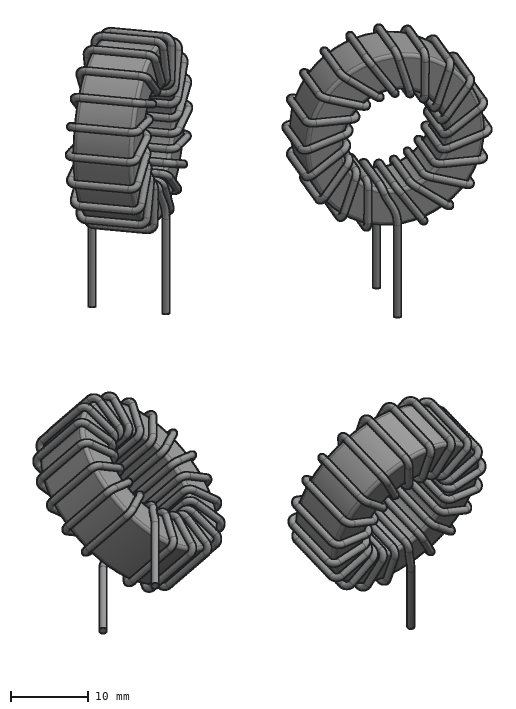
import cadquery as cq
import math

core_outer_diameter = 24.1
core_inner_diameter = 14.0
core_width = 8.1
core_edge_radius = 0.5

wire_diameter = 1.0
wire_clearance = 0.01
turn_count = 20
turn_angle = 2 * math.pi / turn_count

lead_spacing = 10.0
lead_length = 13.0
lead_top_z = -11.45

wire_offset = wire_diameter / 2 + wire_clearance
bend_radius = core_edge_radius + wire_diameter / 2
outer_radius = core_outer_diameter / 2 + wire_offset
inner_radius = core_inner_diameter / 2 - wire_offset
face_x = core_width / 2 + wire_offset
lead_x = lead_spacing / 2

down = cq.Vector(0, 0, -1)


def make_core():
    """Ring with rounded inner and outer edges."""
    ring = (
        cq.Workplane("YZ", origin=(-core_width / 2, 0, 0))
        .circle(core_outer_diameter / 2)
        .circle(core_inner_diameter / 2)
        .extrude(core_width)
    )
    return ring.edges("%CIRCLE").fillet(core_edge_radius)


def point_at(x, radius, turn):
    """Point at a turn's angle, counted from the bottom of the core toward +Y."""
    angle = turn * turn_angle
    return cq.Vector(x, radius * math.sin(angle), -radius * math.cos(angle))


def winding_corners():
    """Sharp corners of the winding, from the -X lead to the +X lead.

    The wire runs straight through the bore and slants to the next turn on the +X face.
    It then crosses the rim and runs radially back to the bore on the -X face.
    """
    corners = []
    for turn in range(turn_count):
        if turn > 0:
            corners.append(point_at(face_x, outer_radius, turn))
            corners.append(point_at(-face_x, outer_radius, turn))
        corners.append(point_at(-face_x, inner_radius, turn))
        corners.append(point_at(face_x, inner_radius, turn))
    return corners


def bend(before, corner, after):
    """Right-angle bend of the wire at a corner: its start, arc and end."""
    toward_before = (before - corner).normalized() * bend_radius
    toward_after = (after - corner).normalized() * bend_radius
    start = corner + toward_before
    end = corner + toward_after
    arc_depth = 1 - math.sqrt(0.5)
    middle = corner + (toward_before + toward_after) * arc_depth
    return start, cq.Edge.makeThreePointArc(start, middle, end), end


def make_winding():
    """Round wire swept from one lead, through every turn, to the other lead."""
    corners = winding_corners()
    first_lead_top = cq.Vector(-lead_x, 0, lead_top_z)
    last_lead_top = cq.Vector(lead_x, 0, lead_top_z)
    first_lead_end = first_lead_top + down * lead_length
    last_lead_end = last_lead_top + down * lead_length

    first_aim = cq.Vector(-face_x, 0, lead_top_z)
    last_aim = cq.Vector(face_x, 0, lead_top_z)
    stops = [first_aim, *corners, last_aim]

    edges = []
    previous_end = None
    for before, corner, after in zip(stops, stops[1:], stops[2:]):
        start, arc, end = bend(before, corner, after)
        if previous_end is None:
            up = down * -1
            edges.append(cq.Edge.makeLine(first_lead_end, first_lead_top))
            edges.append(cq.Edge.makeSpline([first_lead_top, start], tangents=[up, up]))
        else:
            edges.append(cq.Edge.makeLine(previous_end, start))
        edges.append(arc)
        previous_end = end

    last_direction = (last_aim - corners[-1]).normalized()
    edges.append(cq.Edge.makeSpline([previous_end, last_lead_top], tangents=[last_direction, down]))
    edges.append(cq.Edge.makeLine(last_lead_top, last_lead_end))

    path = cq.Workplane(cq.Wire.assembleEdges(edges))
    section = cq.Workplane("XY", origin=first_lead_end.toTuple()).circle(wire_diameter / 2)
    return section.sweep(path)


core = make_core()
winding = make_winding()

result = cq.Compound.makeCompound([core.val(), winding.val()])